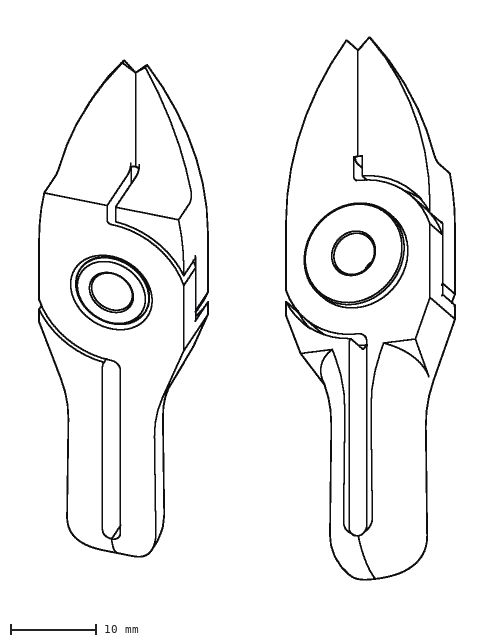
import cadquery as cq
import math


TIP_Z = 27.0
TAIL_Z = -38.0
WIDTH = 18.0
HALF_WIDTH = WIDTH / 2
THICKNESS = 8.25
FRONT_Y = -THICKNESS / 2
BACK_Y = THICKNESS / 2

TIP_X = 1.4
SHOULDER_Z = 5.4
SHELF_Z = 12.0
SHELF_FILLET = 1.0
BEVEL_ANGLE = 23.0
RELIEF_HALF_WIDTH = 0.5
RELIEF_TOP_Z = 12.5

LAP_RADIUS = 9.5
LAP_GAP = 0.5

HIP_Z = -6.1
HIP_ANGLE = 20.3
NECK_RADIUS = 15.25
FLARE_ANGLE = 0.7
TAIL_RADIUS = 5.5
SLOT_HALF_WIDTH = 1.1
SLOT_BOTTOM_Z = -34.4
GRIP_ARC_RADIUS = 8.0
GRIP_LAND = 1.5
LEDGE_SLOPE = 0.35
TAIL_FRONT_RADIUS = 5.25
TAIL_FRONT_Z = -33.45

PIN_RADIUS = 4.55
PIN_CHAMFER = 0.3
COUNTERSINK = 0.5
BORE_RADIUS = 2.55
BORE_CHAMFER = 0.2
HEAD_RADIUS = 6.25
HEAD_HEIGHT = 1.4
HEAD_CHAMFER = 0.2

MARGIN = 0.65
REACH = 2 * TIP_Z


def along_y(sketch_plane_y):
    """Workplane with local x = X and local y = Z that extrudes toward -Y."""
    return cq.Workplane("XZ", origin=(0, sketch_plane_y, 0))


def box(x0, x1, y0, y1, z0, z1):
    return cq.Workplane("XY").box(x1 - x0, y1 - y0, z1 - z0, centered=False).translate((x0, y0, z0))


def disc(radius, y0, y1):
    return along_y(y1).circle(radius).extrude(y1 - y0)


hip = math.radians(HIP_ANGLE)
flare = math.radians(FLARE_ANGLE)
tail_center_z = TAIL_Z + TAIL_RADIUS
flare_end = (TAIL_RADIUS * math.cos(flare), tail_center_z + TAIL_RADIUS * math.sin(flare))

hip_run = HALF_WIDTH - flare_end[0]
hip_drop = HIP_Z - flare_end[1]
corner_distance = (hip_run + hip_drop * math.tan(flare)) / (
    math.sin(hip) + math.cos(hip) * math.tan(flare)
)
corner = (
    HALF_WIDTH - corner_distance * math.sin(hip),
    HIP_Z - corner_distance * math.cos(hip),
)
neck_tangent = NECK_RADIUS * math.tan((hip + flare) / 2)
neck_start = (corner[0] + neck_tangent * math.sin(hip), corner[1] + neck_tangent * math.cos(hip))
neck_end = (corner[0] + neck_tangent * math.sin(flare), corner[1] - neck_tangent * math.cos(flare))
neck_center = (
    neck_end[0] + NECK_RADIUS * math.cos(flare),
    neck_end[1] + NECK_RADIUS * math.sin(flare),
)
neck_mid_angle = (hip - flare) / 2
neck_mid = (
    neck_center[0] - NECK_RADIUS * math.cos(neck_mid_angle),
    neck_center[1] + NECK_RADIUS * math.sin(neck_mid_angle),
)
tail_mid = (TAIL_RADIUS * math.sin(math.pi / 4), tail_center_z - TAIL_RADIUS * math.cos(math.pi / 4))

blade_run = HALF_WIDTH - TIP_X
blade_rise = TIP_Z - SHOULDER_Z
blade_radius = (blade_run**2 + blade_rise**2) / (2 * blade_run)
blade_mid_angle = math.asin(blade_rise / blade_radius) / 2
blade_mid = (
    HALF_WIDTH - blade_radius * (1 - math.cos(blade_mid_angle)),
    SHOULDER_Z + blade_radius * math.sin(blade_mid_angle),
)


def handle_path():
    """Side of the +X handle, from the hip corner to the end of the tail."""
    return (
        along_y(0)
        .moveTo(HALF_WIDTH, HIP_Z)
        .lineTo(*neck_start)
        .threePointArc(neck_mid, neck_end)
        .lineTo(*flare_end)
        .threePointArc(tail_mid, (0, TAIL_Z))
    )


def half_plate():
    """Outline of the +X half through the full thickness."""
    outline = (
        handle_path()
        .lineTo(0, TIP_Z - TIP_X)
        .lineTo(TIP_X, TIP_Z)
        .threePointArc(blade_mid, (HALF_WIDTH, SHOULDER_Z))
        .close()
    )
    return outline.extrude(THICKNESS / 2, both=True)


def bevel_cutter():
    """Space in front of the +X blade: a sloping bevel with a filleted shelf below it."""
    bevel_drop = REACH * math.tan(math.radians(BEVEL_ANGLE))
    space = (
        cq.Workplane("XY", origin=(0, 0, SHELF_Z))
        .polyline(
            [
                (0, BACK_Y),
                (REACH, BACK_Y - bevel_drop),
                (REACH, FRONT_Y - REACH),
                (0, FRONT_Y - REACH),
            ]
        )
        .close()
        .extrude(REACH)
    )
    relief = box(0, RELIEF_HALF_WIDTH, FRONT_Y - MARGIN, BACK_Y, SHELF_Z, SHELF_Z + 2 * SHELF_FILLET)
    sharp_corner = space.intersect(relief)
    bevel_foot = cq.selectors.NearestToPointSelector((REACH / 2, BACK_Y - bevel_drop / 2, SHELF_Z))
    return space.edges(bevel_foot).fillet(SHELF_FILLET).union(sharp_corner)


def slot_cutter(half_width, bottom_z, top_z):
    """Through slot along the Z axis with round ends that reach bottom_z and top_z."""
    return (
        along_y(BACK_Y + MARGIN)
        .center(0, (bottom_z + top_z) / 2)
        .slot2D(top_z - bottom_z, 2 * half_width, 90)
        .extrude(THICKNESS + 2 * MARGIN)
    )


def relief_cutter():
    """Slot between the blade roots: round at the bottom and square at the top."""
    round_center_z = LAP_RADIUS + RELIEF_HALF_WIDTH
    square_end = box(
        -RELIEF_HALF_WIDTH, RELIEF_HALF_WIDTH,
        FRONT_Y - MARGIN, BACK_Y + MARGIN,
        round_center_z, RELIEF_TOP_Z,
    )
    return square_end.union(slot_cutter(RELIEF_HALF_WIDTH, LAP_RADIUS, RELIEF_TOP_Z))


def grip_cutter():
    """Rounds the back of the +X handle with an arc swept along its side, up to a sloping ledge."""
    arc_y = FRONT_Y + GRIP_LAND
    arc_depth = BACK_Y - arc_y

    def inset(depth):
        return GRIP_ARC_RADIUS - math.sqrt(GRIP_ARC_RADIUS**2 - depth**2)

    profile_plane = cq.Plane(
        origin=(HALF_WIDTH, arc_y, HIP_Z),
        xDir=(-math.cos(hip), 0, math.sin(hip)),
        normal=(-math.sin(hip), 0, -math.cos(hip)),
    )
    rounding = (
        cq.Workplane(profile_plane)
        .moveTo(0, 0)
        .threePointArc(
            (inset(arc_depth / 2), arc_depth / 2),
            (inset(arc_depth), arc_depth),
        )
        .lineTo(inset(arc_depth), (arc_depth + MARGIN))
        .lineTo(-MARGIN, (arc_depth + MARGIN))
        .lineTo(-MARGIN, 0)
        .close()
        .sweep(handle_path())
    )
    ledge_end_y = BACK_Y + 2 * MARGIN
    below_ledge = (
        cq.Workplane("YZ")
        .polyline(
            [
                (arc_y - MARGIN, TAIL_Z - REACH),
                (arc_y - MARGIN, neck_start[1] - LEDGE_SLOPE * MARGIN),
                (ledge_end_y, neck_start[1] + LEDGE_SLOPE * (ledge_end_y - arc_y)),
                (ledge_end_y, TAIL_Z - REACH),
            ]
        )
        .close()
        .extrude(REACH)
    )
    return rounding.intersect(below_ledge)


def tail_front_cutter():
    """Rounds the front face down to the tail with an arc that runs straight across X."""
    lowest_z = TAIL_FRONT_Z - TAIL_FRONT_RADIUS
    mid_setback = TAIL_FRONT_RADIUS * (1 - math.cos(math.pi / 4))
    return (
        cq.Workplane("YZ")
        .moveTo(FRONT_Y, TAIL_FRONT_Z)
        .threePointArc(
            (FRONT_Y + mid_setback, TAIL_FRONT_Z - TAIL_FRONT_RADIUS * math.sin(math.pi / 4)),
            (FRONT_Y + TAIL_FRONT_RADIUS, lowest_z),
        )
        .lineTo(FRONT_Y - MARGIN, lowest_z)
        .lineTo(FRONT_Y - MARGIN, TAIL_FRONT_Z)
        .close()
        .extrude(REACH)
    )


def blade_half():
    """+X half above the pivot."""
    upper = box(0, REACH, FRONT_Y, BACK_Y, 0, REACH)
    return half_plate().intersect(upper).cut(bevel_cutter()).cut(relief_cutter())


def handle_half():
    """+X half below the pivot."""
    lower = box(0, REACH, FRONT_Y, BACK_Y, -REACH, 0)
    slot = slot_cutter(SLOT_HALF_WIDTH, SLOT_BOTTOM_Z, -LAP_RADIUS)
    return half_plate().intersect(lower).cut(slot).cut(grip_cutter()).cut(tail_front_cutter())


def jaw(blade_side, lap_y, pocket_y):
    """Blade on one side (+1 or -1 along X), handle on the other, joined by a half-thickness lap disc.

    lap_y and pocket_y are the outer faces of the halves that hold the disc and its clearance.
    """
    blade = blade_half()
    handle = handle_half()
    if blade_side < 0:
        blade = blade.mirror("YZ")
    else:
        handle = handle.mirror("YZ")
    flanks = box(-HALF_WIDTH, HALF_WIDTH, FRONT_Y, BACK_Y, -LAP_RADIUS, LAP_RADIUS)
    lap = disc(LAP_RADIUS, min(0, lap_y), max(0, lap_y)).intersect(flanks)
    pocket = disc(LAP_RADIUS + LAP_GAP, min(0, pocket_y), max(0, pocket_y))
    pin_hole = disc(PIN_RADIUS, FRONT_Y, BACK_Y)
    return blade.cut(pocket).union(handle.cut(pocket)).union(lap).cut(pin_hole)


def front_jaw():
    """Jaw with the -X blade; its lap disc is in front and its pin hole is countersunk."""
    countersink = cq.Workplane("XY").add(
        cq.Solid.makeCone(
            PIN_RADIUS + COUNTERSINK, PIN_RADIUS, COUNTERSINK,
            pnt=cq.Vector(0, FRONT_Y, 0), dir=cq.Vector(0, 1, 0),
        )
    )
    return jaw(-1, FRONT_Y, BACK_Y).cut(countersink)


def back_jaw():
    """Jaw with the +X blade; its lap disc is at the back."""
    return jaw(1, BACK_Y, FRONT_Y)


def pivot_pin():
    """Hollow pin, flush with the front face, with a head on the back face."""
    head_y = BACK_Y + HEAD_HEIGHT
    shank = disc(PIN_RADIUS, FRONT_Y, BACK_Y).faces("<Y").chamfer(PIN_CHAMFER)
    head = disc(HEAD_RADIUS, BACK_Y, head_y).faces(">Y").chamfer(HEAD_CHAMFER)
    bored = shank.union(head).cut(disc(BORE_RADIUS, FRONT_Y, head_y))
    bore_rims = cq.selectors.RadiusNthSelector(0)
    return bored.edges(bore_rims).chamfer(BORE_CHAMFER)


result = cq.Compound.makeCompound([front_jaw().val(), back_jaw().val(), pivot_pin().val()])